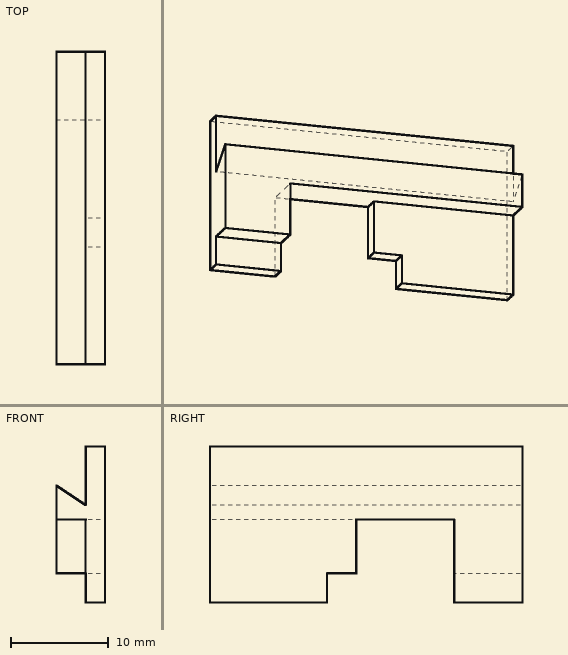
import cadquery as cq

plate_thickness = 2.0
length = 32.0
height = 16.0

rail_depth = 3.0
rail_bottom = 8.5
rail_root_top = 10.0
rail_lip_top = 12.0

foot_length = 7.0
opening_length = 10.0
step_length = 3.0
step_height = 3.0

plate_face = rail_depth
opening_end = length - foot_length
opening_start = opening_end - opening_length
step_start = opening_start - step_length


def make_plate():
    """Plate outline with the stepped opening, extruded along X."""
    outline = [
        (0, 0),
        (step_start, 0),
        (step_start, step_height),
        (opening_start, step_height),
        (opening_start, rail_bottom),
        (opening_end, rail_bottom),
        (opening_end, 0),
        (length, 0),
        (length, height),
        (0, height),
    ]
    plate = cq.Workplane("YZ").polyline(outline).close().extrude(plate_thickness)
    return plate.translate((plate_face, 0, 0))


def make_rail():
    """Full-length rail whose top slopes down towards the plate."""
    profile = [
        (0, rail_bottom),
        (plate_face, rail_bottom),
        (plate_face, rail_root_top),
        (0, rail_lip_top),
    ]
    return cq.Workplane("XZ").polyline(profile).close().extrude(-length)


def make_foot():
    """Block hanging below the rail at the +Y end, level with the step."""
    foot_height = rail_bottom - step_height
    foot = cq.Workplane("XY").box(rail_depth, foot_length, foot_height, centered=False)
    return foot.translate((0, opening_end, step_height))


result = make_plate().union(make_rail()).union(make_foot()).clean()